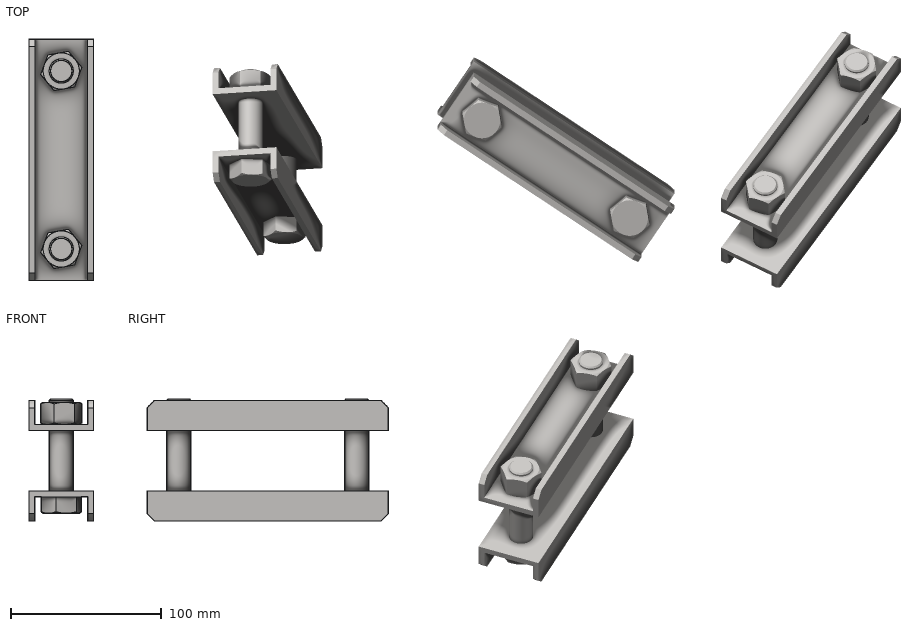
import cadquery as cq
import math

CHANNEL_LENGTH = 160.0
CHANNEL_WIDTH = 43.0
CHANNEL_HEIGHT = 20.0
WALL = 4.0
FLANGE_CHAMFER = 5.0
CHANNEL_GAP = 40.0

BOLT_DIAMETER = 16.0
BOLT_SPACING = 118.0
BOLT_PROTRUSION = 1.0
BOLT_TIP_CHAMFER = 1.0
HEAD_HEIGHT = 10.9
HEAD_ANGLE = 16.0

NUT_HEIGHT = 14.7
NUT_ANGLE = 10.0

ACROSS_FLATS = 24.0
HEX_CHAMFER_ANGLE = 30.0

ACROSS_CORNERS = ACROSS_FLATS / math.cos(math.radians(30))
WEB_BACK_Z = CHANNEL_GAP / 2
WEB_SEAT_Z = WEB_BACK_Z + WALL
FLANGE_EDGE_Z = WEB_BACK_Z + CHANNEL_HEIGHT
BOLT_TIP_Z = FLANGE_EDGE_Z + BOLT_PROTRUSION
BOLT_CENTRES = [(0, -BOLT_SPACING / 2), (0, BOLT_SPACING / 2)]


def make_upper_channel():
    """U-section with flanges up, chamfered flange ends and two bolt holes through its web."""
    channel = (
        cq.Workplane("XY", origin=(0, 0, WEB_BACK_Z))
        .rect(CHANNEL_WIDTH, CHANNEL_LENGTH)
        .extrude(CHANNEL_HEIGHT)
        .edges(">Z and |X")
        .chamfer(FLANGE_CHAMFER)
    )
    trough = (
        cq.Workplane("XY", origin=(0, 0, WEB_SEAT_Z))
        .rect(CHANNEL_WIDTH - 2 * WALL, CHANNEL_LENGTH)
        .extrude(CHANNEL_HEIGHT - WALL)
    )
    holes = (
        cq.Workplane("XY", origin=(0, 0, WEB_BACK_Z))
        .pushPoints(BOLT_CENTRES)
        .circle(BOLT_DIAMETER / 2)
        .extrude(WALL)
    )
    return channel.cut(trough).cut(holes)


def make_hexagon(height, corner_angle, chamfer_bottom, chamfer_top):
    """Hexagonal prism on Z = 0 with its corners turned down conically at the chosen ends."""
    flat_radius = ACROSS_FLATS / 2
    corner_radius = ACROSS_CORNERS / 2
    drop = (corner_radius - flat_radius) * math.tan(math.radians(HEX_CHAMFER_ANGLE))

    section = cq.Workplane("XZ")
    if chamfer_bottom:
        section = section.lineTo(flat_radius, 0).lineTo(corner_radius, drop)
    else:
        section = section.lineTo(corner_radius, 0)
    if chamfer_top:
        section = section.lineTo(corner_radius, height - drop).lineTo(flat_radius, height)
    else:
        section = section.lineTo(corner_radius, height)
    envelope = section.lineTo(0, height).close().revolve(360, (0, 0, 0), (0, 1, 0))

    prism = cq.Workplane("XY").polygon(6, ACROSS_CORNERS).extrude(height)
    return prism.intersect(envelope).rotate((0, 0, 0), (0, 0, 1), corner_angle)


def make_bolt():
    """Bolt on the Z axis, its head under the lower web and its chamfered tip above the nut."""
    head = make_hexagon(HEAD_HEIGHT, HEAD_ANGLE, chamfer_bottom=True, chamfer_top=False)
    head = head.translate((0, 0, -WEB_SEAT_Z - HEAD_HEIGHT))
    shank = (
        cq.Workplane("XY", origin=(0, 0, -WEB_SEAT_Z))
        .circle(BOLT_DIAMETER / 2)
        .extrude(WEB_SEAT_Z + BOLT_TIP_Z)
        .faces(">Z")
        .chamfer(BOLT_TIP_CHAMFER)
    )
    return head.union(shank)


def make_nut():
    """Nut on the Z axis, seated on the upper web and bored to fit the bolt."""
    nut = make_hexagon(NUT_HEIGHT, NUT_ANGLE, chamfer_bottom=True, chamfer_top=True)
    bore = cq.Workplane("XY").circle(BOLT_DIAMETER / 2).extrude(NUT_HEIGHT)
    return nut.cut(bore).translate((0, 0, WEB_SEAT_Z))


upper_channel = make_upper_channel()
lower_channel = upper_channel.mirror("XY")

bolts = []
nuts = []
for x, y in BOLT_CENTRES:
    bolts.append(make_bolt().translate((x, y, 0)).val())
    nuts.append(make_nut().translate((x, y, 0)).val())

result = cq.Compound.makeCompound([upper_channel.val(), lower_channel.val(), *bolts, *nuts])